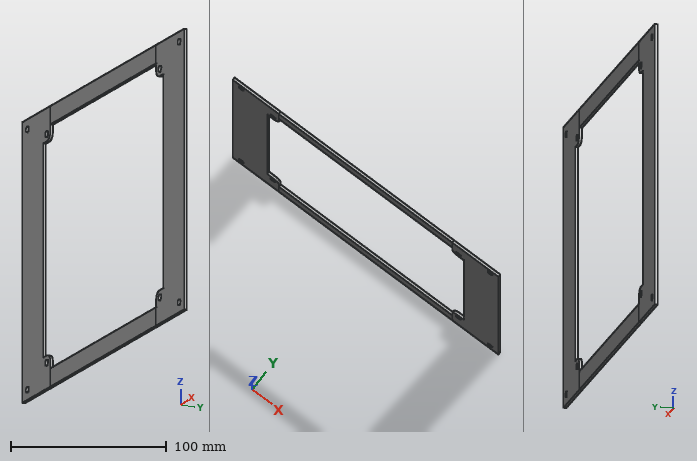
import cadquery as cq

frame_width = 215.0
frame_height = 190.0
thickness = 2.0

side_width = 28.0
tab_reach = 37.5
tab_height = 22.5
tab_radius = 5.0
outer_hole_diameter = 3.9
outer_hole_inset = 6.9
tab_hole_diameter = 4.0

rail_height = 12.5
rail_length = frame_width - 2 * tab_reach

half_width = frame_width / 2
half_height = frame_height / 2
tab_hole_x = half_width - tab_reach + tab_radius
tab_hole_z = half_height - tab_height + tab_radius


def make_plate(width, height, center_x, center_z):
    """Rectangular plate centred on Y = 0."""
    return cq.Workplane("XY").box(width, thickness, height).translate((center_x, 0, center_z))


def drill(plate, diameter, x, z):
    """Cut matching through holes at the top and bottom of a plate."""
    holes = (
        cq.Workplane("XZ")
        .pushPoints([(x, z), (x, -z)])
        .circle(diameter / 2)
        .extrude(thickness, both=True)
    )
    return plate.cut(holes)


def make_side_plate(side):
    """C-shaped plate with rounded corner tabs; side is -1 (left) or 1 (right)."""
    plate = make_plate(tab_reach, frame_height, side * (half_width - tab_reach / 2), 0)

    recess_depth = tab_reach - side_width
    recess_x = side * (half_width - tab_reach + recess_depth / 2)
    plate = plate.cut(make_plate(recess_depth, frame_height - 2 * tab_height, recess_x, 0))

    tab_tip_x = side * (half_width - tab_reach)
    tab_edge_z = half_height - tab_height
    for z in (-tab_edge_z, tab_edge_z):
        corner = cq.selectors.NearestToPointSelector((tab_tip_x, 0, z))
        plate = plate.edges("|Y").edges(corner).fillet(tab_radius)

    plate = drill(plate, outer_hole_diameter, side * (half_width - outer_hole_inset),
                  half_height - outer_hole_inset)
    return drill(plate, tab_hole_diameter, side * tab_hole_x, tab_hole_z)


def make_rail(end):
    """Straight rail; end is -1 (bottom) or 1 (top)."""
    return make_plate(rail_length, rail_height, 0, end * (half_height - rail_height / 2))


side_plates = [make_side_plate(side).val() for side in (-1, 1)]
rails = [make_rail(end).val() for end in (-1, 1)]

result = cq.Compound.makeCompound([*side_plates, *rails])